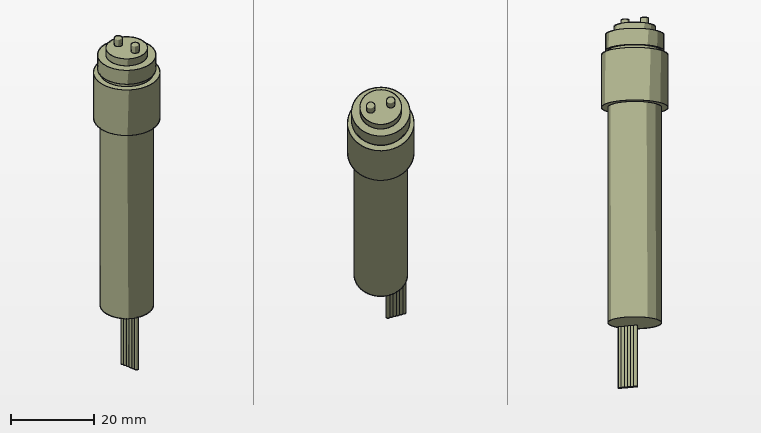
import cadquery as cq

total_length = 90.0
collar_diameter = 16.0
head_diameter = 14.0
tube_diameter = 13.0
face_diameter = 10.0

pin_length = 2.0
face_length = 2.0
head_length = 4.0
neck_length = 1.0
collar_length = 13.0
cable_length = 15.0

pin_diameter = 2.0
pin_spacing = 5.0
pin_fillet = 0.2

wire_count = 6
wire_diameter = 1.0
wire_pitch = 0.8
cable_center_x = 3.0
cable_center_y = -2.8
cable_embed = 0.9

tube_bottom = cable_length
face_top = total_length - pin_length
head_top = face_top - face_length
head_bottom = head_top - head_length
collar_top = head_bottom - neck_length
collar_bottom = collar_top - collar_length


def cylinder(diameter, bottom, top, x=0, y=0):
    """Vertical cylinder between two levels."""
    base = cq.Workplane("XY", origin=(x, y, bottom))
    return base.circle(diameter / 2).extrude(top - bottom)


body = cylinder(tube_diameter, tube_bottom, head_bottom)
body = body.union(cylinder(collar_diameter, collar_bottom, collar_top))
body = body.union(cylinder(head_diameter, head_bottom, head_top))
body = body.union(cylinder(face_diameter, head_top, face_top))

for side in (-1, 1):
    pin_x = side * pin_spacing / 2
    pin = cylinder(pin_diameter, face_top, total_length, pin_x)
    pin = pin.faces(">Z").edges().fillet(pin_fillet)
    body = body.union(pin)

for index in range(wire_count):
    wire_x = cable_center_x + (index - (wire_count - 1) / 2) * wire_pitch
    wire = cylinder(wire_diameter, 0, tube_bottom + cable_embed, wire_x, cable_center_y)
    body = body.union(wire)

result = body